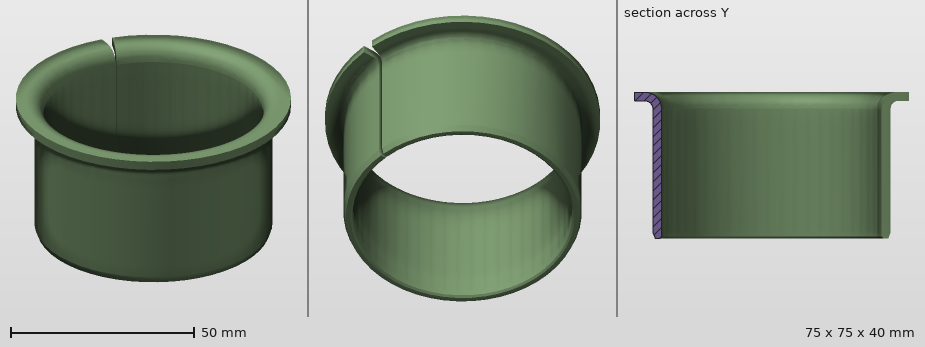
import cadquery as cq

flange_diameter = 75.0
height = 40.0
bore_diameter = 60.0
wall = 2.5
inner_bend_radius = 4.5
chamfer_height = 1.8
chamfer_width = 0.7
bore_chamfer = 0.5
gap_outer_width = 3.0
gap_inner_width = 0.2

flange_radius = flange_diameter / 2
bore_radius = bore_diameter / 2
barrel_radius = bore_radius + wall
outer_bend_radius = inner_bend_radius - wall
bend_center_radius = bore_radius + inner_bend_radius
bend_center_z = height - inner_bend_radius
flange_underside_z = height - wall


def flanged_sleeve():
    """Revolve the wall section, whose two bend arcs share one centre."""
    diagonal = 0.5 ** 0.5
    inner_offset = inner_bend_radius * diagonal
    outer_offset = outer_bend_radius * diagonal
    section = (
        cq.Workplane("XZ")
        .moveTo(bore_radius, bore_chamfer)
        .lineTo(bore_radius + bore_chamfer, 0)
        .lineTo(barrel_radius - chamfer_width, 0)
        .lineTo(barrel_radius, chamfer_height)
        .lineTo(barrel_radius, bend_center_z)
        .threePointArc(
            (bend_center_radius - outer_offset, bend_center_z + outer_offset),
            (bend_center_radius, flange_underside_z),
        )
        .lineTo(flange_radius, flange_underside_z)
        .lineTo(flange_radius, height)
        .lineTo(bend_center_radius, height)
        .threePointArc(
            (bend_center_radius - inner_offset, bend_center_z + inner_offset),
            (bore_radius, bend_center_z),
        )
        .close()
    )
    sleeve = section.revolve(360, (0, 0), (0, 1))
    return sleeve.rotate((0, 0, 0), (0, 0, 1), 180)


def split_gap():
    """Full-height wedge on the -X side, widening from the bore to the rim."""
    taper = (gap_outer_width - gap_inner_width) / (flange_radius - bore_radius)
    overrun = gap_inner_width / taper
    apex_x = -bore_radius + overrun
    end_x = -flange_radius - overrun
    end_half_width = (gap_outer_width + gap_inner_width) / 2
    return (
        cq.Workplane("XY")
        .polyline([(apex_x, 0), (end_x, end_half_width), (end_x, -end_half_width)])
        .close()
        .extrude(height)
    )


result = flanged_sleeve().cut(split_gap())